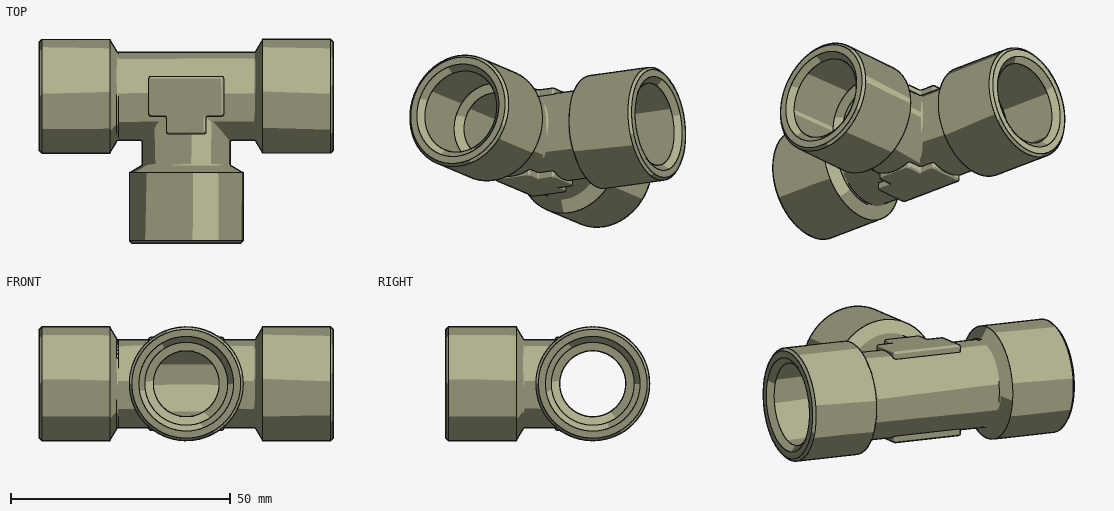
import cadquery as cq
import math

port_reach = 33.5
socket_radius = 13.0
neck_radius = 10.05
bore_radius = 7.5

socket_length = 16.1
rim_chamfer = 0.6
shoulder_angle = 30.0
blend_radius = 0.4

thread_radius = 9.45
mouth_radius = 10.8
thread_depth = 14.75
drill_cone_angle = 30.0

pad_height = 10.65
pad_reach = 8.6
pad_half_width = 4.55
pad_edge_radius = 0.6

shoulder_start = port_reach - socket_length
shoulder_length = (socket_radius - neck_radius) * math.tan(math.radians(shoulder_angle))
shoulder_end = shoulder_start - shoulder_length

port_angles = (0, -90, 180)


def on_every_port(port):
    """Union of one +X port turned to all three port directions."""
    copies = [port.rotate((0, 0, 0), (0, 0, 1), angle) for angle in port_angles]
    return copies[0].union(copies[1]).union(copies[2])


def make_necks():
    """T of plain cylinders with the seam where they cross blended."""
    run = cq.Workplane("YZ").circle(neck_radius).extrude(shoulder_start, both=True)
    branch = cq.Workplane("XZ").circle(neck_radius).extrude(shoulder_start)
    return run.union(branch).edges("not(%LINE or %CIRCLE)").fillet(blend_radius)


def make_socket():
    """Socket on +X with a chamfered rim and a conical shoulder blended into the neck."""
    turn = math.radians(90 - shoulder_angle)
    tangent = blend_radius * math.tan(turn / 2)
    blend_start = shoulder_end - tangent
    blend_middle = (
        blend_start + blend_radius * math.sin(turn / 2),
        neck_radius + blend_radius * (1 - math.cos(turn / 2)),
    )
    blend_finish = (
        shoulder_end + tangent * math.cos(turn),
        neck_radius + tangent * math.sin(turn),
    )
    return (
        cq.Workplane("XY")
        .moveTo(blend_start, 0)
        .lineTo(blend_start, neck_radius)
        .threePointArc(blend_middle, blend_finish)
        .lineTo(shoulder_start, socket_radius)
        .lineTo(port_reach - rim_chamfer, socket_radius)
        .lineTo(port_reach, socket_radius - rim_chamfer)
        .lineTo(port_reach, 0)
        .close()
        .revolve(360, (0, 0, 0), (1, 0, 0))
    )


def make_cavity():
    """Hollow of a +X port: 45 degree mouth chamfer, thread bore, drill cone and inner bore."""
    thread_end = port_reach - thread_depth
    cone_end = thread_end - (thread_radius - bore_radius) * math.tan(math.radians(drill_cone_angle))
    mouth_start = port_reach - (mouth_radius - thread_radius)
    outline = [
        (0, 0),
        (0, bore_radius),
        (cone_end, bore_radius),
        (thread_end, thread_radius),
        (mouth_start, thread_radius),
        (port_reach, mouth_radius),
        (port_reach, 0),
    ]
    return cq.Workplane("XY").polyline(outline).close().revolve(360, (0, 0, 0), (1, 0, 0))


def make_pads():
    """T-shaped slab through the body whose two rounded faces stand proud of the necks."""
    slab_height = 2 * pad_height
    arms = (
        cq.Workplane("XY")
        .box(2 * pad_reach, 2 * pad_half_width, slab_height)
        .edges("|Z").fillet(pad_edge_radius)
    )
    stem = (
        cq.Workplane("XY")
        .box(2 * pad_half_width, pad_reach, slab_height)
        .translate((0, -pad_reach / 2, 0))
        .edges("|Z and <Y").fillet(pad_edge_radius)
    )
    slab = arms.union(stem)
    for side in (-1, 1):
        inner_corner = (side * pad_half_width, -pad_half_width, 0)
        slab = slab.edges(cq.NearestToPointSelector(inner_corner)).fillet(blend_radius)
    return slab.faces("|Z").edges().fillet(pad_edge_radius)


body = make_necks().union(on_every_port(make_socket())).union(make_pads())
result = body.cut(on_every_port(make_cavity()))